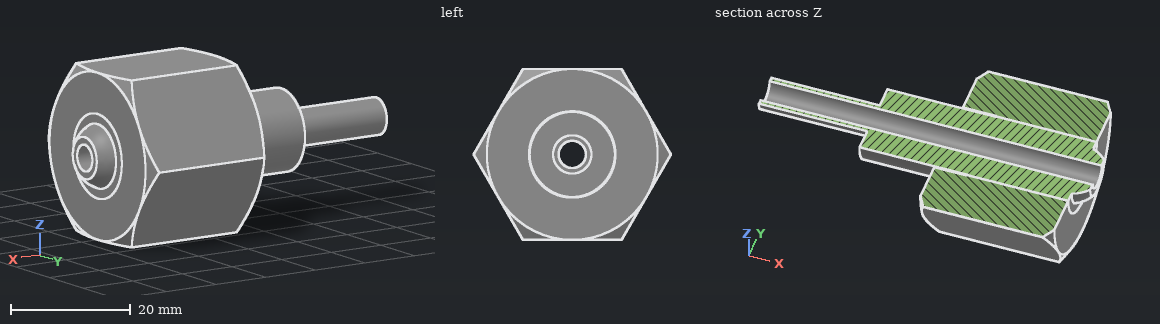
import cadquery as cq
import math

overall_length = 58.75

tube_diameter = 6.4
bore_diameter = 4.5
tube_length = 19.15
sleeve_diameter = 14.2
nose_length = 2.6
nose_tip_diameter = 7.15
nose_sphere_radius = 5.9

hex_across_flats = 28.55
nut_length = 23.75
nut_clearance = 0.1
clearance_depth = 5.9
chamfer_angle = 30.0

hex_across_corners = hex_across_flats / math.cos(math.pi / 6)
nut_end = overall_length - nose_length
nut_start = nut_end - nut_length
nut_hole_diameter = sleeve_diameter + 2 * nut_clearance
shoulder_start = nut_start + clearance_depth
chamfer_depth = (hex_across_corners - hex_across_flats) / 2 * math.tan(math.radians(chamfer_angle))


def cylinder(diameter, start, length):
    """Round bar along X, beginning at X = start."""
    return cq.Workplane("YZ", origin=(start, 0, 0)).circle(diameter / 2).extrude(length)


def make_nose():
    """Spherical band with a flat tip, standing on the end of the shoulder."""
    tip_radius = nose_tip_diameter / 2
    sphere_center = overall_length - math.sqrt(nose_sphere_radius**2 - tip_radius**2)

    def sphere_profile_radius(x):
        return math.sqrt(nose_sphere_radius**2 - (x - sphere_center) ** 2)

    middle = nut_end + nose_length / 2
    profile = (
        cq.Workplane("XY")
        .moveTo(nut_end, 0)
        .lineTo(nut_end, sphere_profile_radius(nut_end))
        .threePointArc((middle, sphere_profile_radius(middle)), (overall_length, tip_radius))
        .lineTo(overall_length, 0)
        .close()
    )
    return profile.revolve(360, (0, 0, 0), (1, 0, 0))


def make_gland():
    tube = cylinder(tube_diameter, 0, tube_length)
    sleeve = cylinder(sleeve_diameter, tube_length, shoulder_start - tube_length)
    shoulder = cylinder(nut_hole_diameter, shoulder_start, nut_end - shoulder_start)
    bore = cylinder(bore_diameter, 0, overall_length)
    return tube.union(sleeve).union(shoulder).union(make_nose()).cut(bore)


def make_chamfer_envelope():
    """Cylinder over the hexagon corners, with both ends coned down to the flats."""
    flat_radius = hex_across_flats / 2
    corner_radius = hex_across_corners / 2
    profile = cq.Workplane("XY").polyline([
        (nut_start, 0),
        (nut_start, flat_radius),
        (nut_start + chamfer_depth, corner_radius),
        (nut_end - chamfer_depth, corner_radius),
        (nut_end, flat_radius),
        (nut_end, 0),
    ]).close()
    return profile.revolve(360, (0, 0, 0), (1, 0, 0))


def make_nut():
    hexagon = (
        cq.Workplane("YZ", origin=(nut_start, 0, 0))
        .polygon(6, hex_across_corners)
        .extrude(nut_length)
    )
    gland_hole = cylinder(nut_hole_diameter, nut_start, nut_length)
    return hexagon.intersect(make_chamfer_envelope()).cut(gland_hole)


gland = make_gland()
nut = make_nut()

result = cq.Compound.makeCompound([gland.solids().val(), nut.solids().val()])